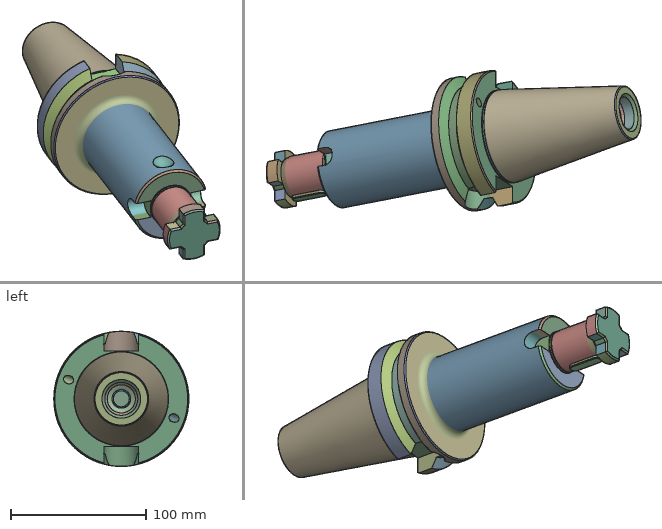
import cadquery as cq
import math


TAPER_LENGTH = 101.8
GAUGE_RADIUS = 69.85 / 2
TAPER_RATIO = 7 / 24
SMALL_END_RADIUS = GAUGE_RADIUS - TAPER_LENGTH * TAPER_RATIO / 2
SMALL_END_CHAMFER = 0.8
RELIEF_START = 1.2
RELIEF_END = 2.6
RELIEF_RADIUS = GAUGE_RADIUS - 0.3
FLANGE_START = 3.0
FLANGE_END = 38.0
FLANGE_RADIUS = 50.0
FLANGE_EDGE = 0.9
GROOVE_CENTER = 23.4
GROOVE_FLOOR_WIDTH = 6.4
GROOVE_FLOOR_RADIUS = 42.5
GROOVE_HALF_FLOOR = GROOVE_FLOOR_WIDTH / 2
GROOVE_HALF_MOUTH = GROOVE_HALF_FLOOR + (FLANGE_RADIUS - GROOVE_FLOOR_RADIUS) * math.tan(math.radians(30))

KEYWAY_WIDTH = 25.7
KEYWAY_FLOOR = 35.2
KEYWAY_TIP = 34.6

COOLANT_RADIUS = 3.0
COOLANT_PITCH_RADIUS = 41.5
COOLANT_ANGLE = 20.0
COOLANT_TILT = 38.0
COOLANT_DEPTH = 14.0

NOSE_RADIUS = 29.0
NOSE_FILLET = 5.0
NOSE_END = 146.0
NOSE_CHAMFER = 1.5
SLOT_WIDTH = 14.0
SLOT_DEPTH = 13.7
SLOT_FLOOR = 16.0
DIMPLE_X = NOSE_END - 14.9
DIMPLE_SPHERE_RADIUS = 9.5
DIMPLE_OPENING_RADIUS = 8.2

SPIGOT_RADIUS = 16.0
SPIGOT_END = 183.3
SPIGOT_CHAMFER_LENGTH = 4.2
SPIGOT_CHAMFER_HEIGHT = 0.9
UNDERCUT_RADIUS = 15.5
UNDERCUT_OUTER_RADIUS = 16.2
UNDERCUT_START = NOSE_END - 0.8
UNDERCUT_FLOOR_END = NOSE_END + 0.8
UNDERCUT_END = NOSE_END + 1.8

BORE_MOUTH_RADIUS = 14.3
BORE_ENTRY_RADIUS = 12.2
BORE_MOUTH_DEPTH = 2.0
BORE_ENTRY_DEPTH = 10.0
BORE_RADIUS = 10.4
BORE_DEPTH = 90.0
DRILL_TIP_HALF_ANGLE = 59.0

SHANK_RADIUS = 6.9
SHANK_LENGTH = 60.0
SHANK_CHAMFER = 1.0
HEAD_END = 193.0
HEAD_RADIUS = 21.0
HEAD_CHAMFER = 1.2
HUB_RADIUS = 13.9
LUG_WIDTH = 17.0

KEY_START = 153.5
KEY_LENGTH = 28.0
KEY_WIDTH = 8.0
KEY_BOTTOM = -18.0
KEY_HEIGHT = 7.0
KEY_CHAMFER = 0.6


def cylinder(start, end, radius):
    """Plain cylinder about the X axis."""
    return cq.Workplane("YZ", origin=(start, 0, 0)).circle(radius).extrude(end - start)


def revolved(profile):
    """Close a half section and turn it about the X axis."""
    return profile.close().revolve(360, (0, 0, 0), (1, 0, 0))


def holder_blank():
    """Turned outline of the holder, solid throughout."""
    chamfer_radius = SMALL_END_RADIUS + SMALL_END_CHAMFER * TAPER_RATIO / 2
    profile = (
        cq.Workplane("XY")
        .moveTo(-TAPER_LENGTH, 0)
        .lineTo(-TAPER_LENGTH, chamfer_radius - SMALL_END_CHAMFER)
        .lineTo(SMALL_END_CHAMFER - TAPER_LENGTH, chamfer_radius)
        .lineTo(0, GAUGE_RADIUS)
        .lineTo(RELIEF_START, GAUGE_RADIUS)
        .lineTo(RELIEF_START, RELIEF_RADIUS)
        .lineTo(RELIEF_END, RELIEF_RADIUS)
        .lineTo(RELIEF_END, GAUGE_RADIUS)
        .lineTo(FLANGE_START, GAUGE_RADIUS)
        .lineTo(FLANGE_START, FLANGE_RADIUS - FLANGE_EDGE)
        .lineTo(FLANGE_START + FLANGE_EDGE, FLANGE_RADIUS)
        .lineTo(GROOVE_CENTER - GROOVE_HALF_MOUTH, FLANGE_RADIUS)
        .lineTo(GROOVE_CENTER - GROOVE_HALF_FLOOR, GROOVE_FLOOR_RADIUS)
        .lineTo(GROOVE_CENTER + GROOVE_HALF_FLOOR, GROOVE_FLOOR_RADIUS)
        .lineTo(GROOVE_CENTER + GROOVE_HALF_MOUTH, FLANGE_RADIUS)
        .lineTo(FLANGE_END - FLANGE_EDGE, FLANGE_RADIUS)
        .lineTo(FLANGE_END, FLANGE_RADIUS - FLANGE_EDGE)
        .lineTo(FLANGE_END, NOSE_RADIUS + NOSE_FILLET)
        .radiusArc((FLANGE_END + NOSE_FILLET, NOSE_RADIUS), -NOSE_FILLET)
        .lineTo(NOSE_END - NOSE_CHAMFER, NOSE_RADIUS)
        .lineTo(NOSE_END, NOSE_RADIUS - NOSE_CHAMFER)
        .lineTo(NOSE_END, SPIGOT_RADIUS)
        .lineTo(SPIGOT_END - SPIGOT_CHAMFER_LENGTH, SPIGOT_RADIUS)
        .lineTo(SPIGOT_END, SPIGOT_RADIUS - SPIGOT_CHAMFER_HEIGHT)
        .lineTo(SPIGOT_END, 0)
    )
    return revolved(profile)


def holder_bore():
    """Stepped bore from the small end, ending in the screw hole through the spigot."""
    bore_end = BORE_DEPTH - TAPER_LENGTH
    tip_length = (BORE_RADIUS - SHANK_RADIUS) / math.tan(math.radians(DRILL_TIP_HALF_ANGLE))
    entry_end = BORE_ENTRY_DEPTH - TAPER_LENGTH
    profile = (
        cq.Workplane("XY")
        .moveTo(-TAPER_LENGTH, 0)
        .lineTo(-TAPER_LENGTH, BORE_MOUTH_RADIUS)
        .lineTo(BORE_MOUTH_DEPTH - TAPER_LENGTH, BORE_ENTRY_RADIUS)
        .lineTo(entry_end, BORE_ENTRY_RADIUS)
        .lineTo(entry_end + BORE_ENTRY_RADIUS - BORE_RADIUS, BORE_RADIUS)
        .lineTo(bore_end, BORE_RADIUS)
        .lineTo(bore_end + tip_length, SHANK_RADIUS)
        .lineTo(SPIGOT_END, SHANK_RADIUS)
        .lineTo(SPIGOT_END, 0)
    )
    return revolved(profile)


def spigot_undercut():
    """Relief at the foot of the spigot that also bites slightly into the nose face."""
    profile = (
        cq.Workplane("XY")
        .moveTo(UNDERCUT_START, UNDERCUT_OUTER_RADIUS)
        .lineTo(UNDERCUT_START, UNDERCUT_RADIUS)
        .lineTo(UNDERCUT_FLOOR_END, UNDERCUT_RADIUS)
        .lineTo(UNDERCUT_END, SPIGOT_RADIUS)
        .lineTo(UNDERCUT_END, UNDERCUT_OUTER_RADIUS)
    )
    return revolved(profile)


def flange_keyway(side):
    """Keyway with a full-round end, open radially on the +Z (side=1) or -Z (side=-1) side."""
    half_width = KEYWAY_WIDTH / 2
    return (
        cq.Workplane("XY", origin=(0, 0, side * KEYWAY_FLOOR))
        .moveTo(0, -half_width)
        .lineTo(KEYWAY_TIP - half_width, -half_width)
        .threePointArc((KEYWAY_TIP, 0), (KEYWAY_TIP - half_width, half_width))
        .lineTo(0, half_width)
        .close()
        .extrude(side * FLANGE_RADIUS)
    )


def nose_slot(side):
    """Driving slot with a full-round end, open at the nose face on the +Y or -Y side."""
    half_width = SLOT_WIDTH / 2
    tip = NOSE_END - SLOT_DEPTH
    return (
        cq.Workplane("XZ", origin=(0, side * SLOT_FLOOR, 0))
        .moveTo(NOSE_END, -half_width)
        .lineTo(tip + half_width, -half_width)
        .threePointArc((tip, 0), (tip + half_width, half_width))
        .lineTo(NOSE_END, half_width)
        .close()
        .extrude(-side * NOSE_RADIUS)
    )


def coolant_hole(angle):
    """Blind hole that runs inward toward the axis from the taper-side flange face."""
    outward = cq.Vector(0, math.cos(math.radians(angle)), math.sin(math.radians(angle)))
    tilt = math.radians(COOLANT_TILT)
    direction = cq.Vector(math.cos(tilt), 0, 0) - outward * math.sin(tilt)
    mouth = cq.Vector(FLANGE_START, 0, 0) + outward * COOLANT_PITCH_RADIUS
    start = mouth - direction * (2 * COOLANT_RADIUS)
    length = COOLANT_DEPTH + 2 * COOLANT_RADIUS
    return cq.Workplane(obj=cq.Solid.makeCylinder(COOLANT_RADIUS, length, start, direction))


def nose_dimple():
    """Ball that leaves a shallow spherical dimple in the top of the nose."""
    rise = math.sqrt(DIMPLE_SPHERE_RADIUS**2 - DIMPLE_OPENING_RADIUS**2)
    return cq.Workplane("XY", origin=(DIMPLE_X, 0, NOSE_RADIUS + rise)).sphere(DIMPLE_SPHERE_RADIUS)


def key_block():
    """Round-ended key body, before its outer edge is chamfered."""
    return (
        cq.Workplane("XY", origin=(KEY_START + KEY_LENGTH / 2, 0, KEY_BOTTOM))
        .slot2D(KEY_LENGTH, KEY_WIDTH)
        .extrude(KEY_HEIGHT)
    )


def make_holder():
    """Tapered body with flange, nose, spigot and all its cuts, including the key seat."""
    holder = holder_blank().cut(holder_bore())
    holder = holder.cut(spigot_undercut())
    for side in (1, -1):
        holder = holder.cut(flange_keyway(side)).cut(nose_slot(side))
    for angle in (COOLANT_ANGLE, COOLANT_ANGLE + 180):
        holder = holder.cut(coolant_hole(angle))
    return holder.cut(nose_dimple()).cut(key_block())


def make_screw():
    """Clamping screw whose head, four lugs around a round hub, seats on the spigot end."""
    thickness = HEAD_END - SPIGOT_END
    disc = cylinder(SPIGOT_END, HEAD_END, HEAD_RADIUS)
    cross = cq.Workplane("YZ", origin=(SPIGOT_END, 0, 0)).rect(LUG_WIDTH, 2 * HEAD_RADIUS)
    cross = cross.extrude(thickness)
    cross = cross.union(cross.rotate((0, 0, 0), (1, 0, 0), 90))
    head = cross.intersect(disc).union(cylinder(SPIGOT_END, HEAD_END, HUB_RADIUS))
    head = head.faces(">X").chamfer(HEAD_CHAMFER)
    shank = cylinder(SPIGOT_END - SHANK_LENGTH, SPIGOT_END, SHANK_RADIUS)
    shank = shank.faces("<X").chamfer(SHANK_CHAMFER)
    return head.union(shank)


def make_key():
    """Feather key seated in the underside of the spigot."""
    return key_block().faces("<Z").chamfer(KEY_CHAMFER)


holder = make_holder()
screw = make_screw()
key = make_key()

result = cq.Compound.makeCompound([holder.val(), screw.val(), key.val()])